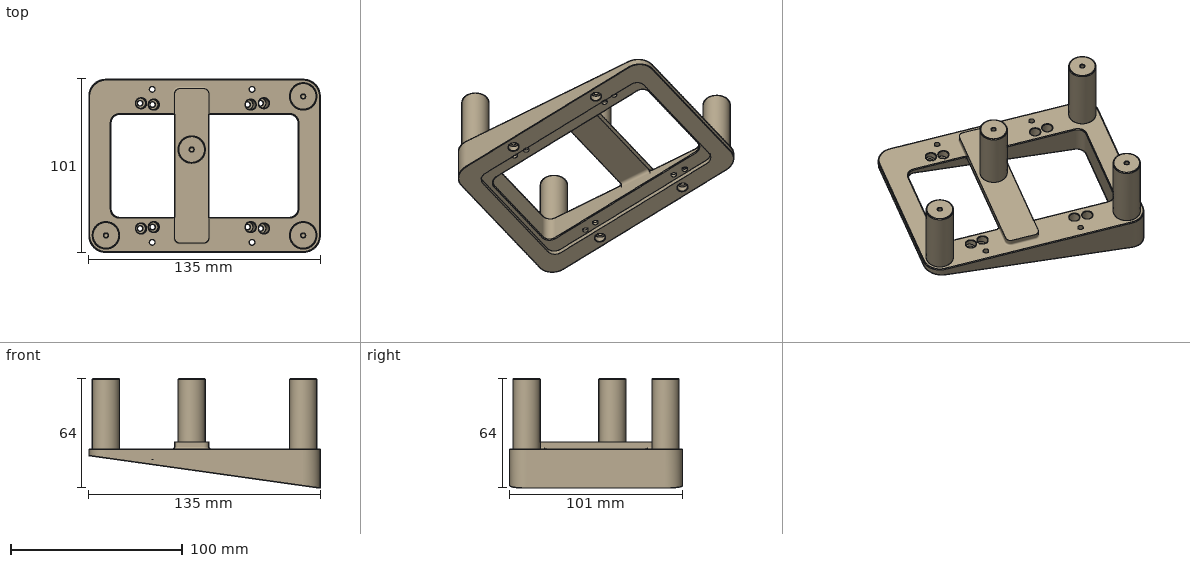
import cadquery as cq
import math

LENGTH = 135.0
WIDTH = 101.0
CORNER_RADIUS = 10.0
THICK_END = 23.015
SLOPE_DEG = 8.0
EDGE_CHAMFER = 0.5
UNDERSIDE_CHAMFER = 0.25
SLOPE = math.tan(math.radians(SLOPE_DEG))
THIN_END = THICK_END - LENGTH * SLOPE
CLEARANCE = 1.0
SEARCH_MARGIN = 0.2

WINDOW_LENGTH = 109.0
WINDOW_WIDTH = 60.0
WINDOW_RADIUS = 5.0

POCKET_LENGTH = 115.0
POCKET_WIDTH = 78.0
POCKET_RADIUS = 5.5
POCKET_DEPTH = 3.0

BAR_X = -7.5
BAR_WIDTH = 20.0
BAR_LENGTH = 90.0
BAR_HEIGHT = 4.0
BAR_RADIUS = 3.0
BAR_FILLET = 1.0
BAR_UNDERSIDE_FILLET = 2.0

POST_DIAMETER = 16.0
POST_TOP = 41.0
POST_CHAMFER = 0.5
POST_INSET = 10.0
BAR_POST_Y = 9.5
POST_HOLE_DIAMETER = 2.5
POST_HOLE_CHAMFER = 0.25
POST_HOLE_DEPTH = 10.0
DRILL_POINT_DEG = 118.0

SCREW_DIAMETER = 3.2
HEAD_DIAMETER = 6.0
HEAD_CHAMFER = 0.25

TILTED_HOLES = [(-37.0, 36.5), (-29.6, 35.7), (26.9, 35.7), (34.6, 36.5)]
TILTED_HOLE_FLOOR = 2.0

VERTICAL_HOLE_X = [-30.5, 27.7]
VERTICAL_HOLE_Y = 44.6
VERTICAL_HEAD_DEPTH = 3.5


def thickness_at(x):
    """Frame thickness at a given X."""
    return THIN_END + (x + LENGTH / 2) * SLOPE


def rounded_block(length, width, height, radius):
    """Block centred in X and Y, standing on Z = 0, with rounded vertical edges."""
    block = cq.Workplane("XY").box(length, width, height, centered=(True, True, False))
    return block.edges("|Z").fillet(radius)


def cylinder(diameter, height):
    """Upright cylinder standing on the origin."""
    return cq.Workplane("XY").circle(diameter / 2).extrude(height)


def onto_underside(tool):
    """Tilt a tool built around the origin so its XY plane lies on the underside at mid length."""
    tilted = tool.rotate((0, 0, 0), (0, 1, 0), SLOPE_DEG)
    return tilted.translate((0, 0, -thickness_at(0)))


def make_frame():
    """Wedge with rounded corners, underside pocket, window and broken top edges."""
    wedge = (
        cq.Workplane("XZ")
        .moveTo(-LENGTH / 2, 0)
        .lineTo(LENGTH / 2, 0)
        .lineTo(LENGTH / 2, -THICK_END)
        .lineTo(-LENGTH / 2, -THIN_END)
        .close()
        .extrude(WIDTH / 2, both=True)
    )
    frame = wedge.edges("|Z").fillet(CORNER_RADIUS)
    frame = frame.faces(">Z").chamfer(EDGE_CHAMFER)
    frame = frame.faces("<Z").chamfer(UNDERSIDE_CHAMFER)

    pocket = rounded_block(POCKET_LENGTH, POCKET_WIDTH, POCKET_DEPTH + CLEARANCE, POCKET_RADIUS)
    frame = frame.cut(onto_underside(pocket.translate((0, 0, -CLEARANCE))))

    window_height = THICK_END + 2 * CLEARANCE
    window = rounded_block(WINDOW_LENGTH, WINDOW_WIDTH, window_height, WINDOW_RADIUS)
    frame = frame.cut(window.translate((0, 0, CLEARANCE - window_height)))

    underside_normal = cq.Vector(-SLOPE, 0, -1)
    pocket_floor = frame.faces(cq.selectors.ParallelDirSelector(underside_normal)).faces(">Z")
    window_rim = pocket_floor.val().innerWires()
    return frame.newObject(window_rim).edges().chamfer(EDGE_CHAMFER)


def make_bar():
    """Flat bridge bar resting on the top face."""
    return rounded_block(BAR_WIDTH, BAR_LENGTH, BAR_HEIGHT, BAR_RADIUS).translate((BAR_X, 0, 0))


def make_post(x, y, base):
    """Chamfered post rising from the given base height."""
    post = cylinder(POST_DIAMETER, POST_TOP - base).faces(">Z").chamfer(POST_CHAMFER)
    return post.translate((x, y, base))


def make_post_hole(x, y):
    """Blind drilled hole with a conical bottom, entering from the post top."""
    radius = POST_HOLE_DIAMETER / 2
    point_depth = radius / math.tan(math.radians(DRILL_POINT_DEG / 2))
    hole = (
        cq.Workplane("XZ")
        .moveTo(0, 0)
        .lineTo(radius + POST_HOLE_CHAMFER, 0)
        .lineTo(radius, -POST_HOLE_CHAMFER)
        .lineTo(radius, -POST_HOLE_DEPTH)
        .lineTo(0, -POST_HOLE_DEPTH - point_depth)
        .close()
        .revolve(360, (0, 0, 0), (0, 1, 0))
    )
    return hole.translate((x, y, POST_TOP))


def make_tilted_hole(x, y):
    """Counterbored hole square to the underside whose axis meets the top face at (x, y)."""
    axis_length = thickness_at(x) * math.cos(math.radians(SLOPE_DEG)) - POCKET_DEPTH
    head_depth = axis_length - TILTED_HOLE_FLOOR
    screw = cylinder(SCREW_DIAMETER, axis_length + 2 * CLEARANCE)
    screw = screw.translate((0, 0, -axis_length - CLEARANCE))
    head = cylinder(HEAD_DIAMETER, head_depth + CLEARANCE).translate((0, 0, -head_depth))
    hole = screw.union(head).rotate((0, 0, 0), (0, 1, 0), SLOPE_DEG)
    return hole.translate((x, y, 0))


def make_vertical_hole(x, y):
    """Upright through hole counterbored from the underside."""
    depth = thickness_at(x)
    screw = cylinder(SCREW_DIAMETER, depth + 2 * CLEARANCE).translate((0, 0, -depth - CLEARANCE))
    head_height = VERTICAL_HEAD_DEPTH + CLEARANCE
    head = cylinder(HEAD_DIAMETER, head_height).translate((0, 0, -depth - CLEARANCE))
    return screw.union(head).translate((x, y, 0))


def join_bar(frame):
    """Add the bar and fillet its foot where it rests on the frame."""
    joined = frame.union(make_bar())
    reach_x = BAR_WIDTH / 2 + BAR_FILLET
    reach_y = BAR_LENGTH / 2 + BAR_FILLET
    for near_y, far_y in [(-reach_y, -WINDOW_WIDTH / 2), (WINDOW_WIDTH / 2, reach_y)]:
        low = (BAR_X - reach_x, near_y + SEARCH_MARGIN, -SEARCH_MARGIN)
        high = (BAR_X + reach_x, far_y - SEARCH_MARGIN, SEARCH_MARGIN)
        joined = joined.edges(cq.selectors.BoxSelector(low, high)).fillet(BAR_FILLET)
    return joined


def make_underside_fillet():
    """Concave fillet between the bar's underside and the window wall on the +Y side."""
    wall_y = WINDOW_WIDTH / 2
    arc_middle = BAR_UNDERSIDE_FILLET * (1 - math.sqrt(0.5))
    return (
        cq.Workplane("YZ")
        .moveTo(wall_y, 0)
        .lineTo(wall_y - BAR_UNDERSIDE_FILLET, 0)
        .threePointArc((wall_y - arc_middle, -arc_middle), (wall_y, -BAR_UNDERSIDE_FILLET))
        .close()
        .extrude(BAR_WIDTH / 2, both=True)
        .translate((BAR_X, 0, 0))
    )


def make_window_chamfer():
    """Tool that breaks the window's top edge, leaving it sharp beneath the bar."""
    rim = rounded_block(
        WINDOW_LENGTH + 2 * EDGE_CHAMFER,
        WINDOW_WIDTH + 2 * EDGE_CHAMFER,
        EDGE_CHAMFER + CLEARANCE,
        WINDOW_RADIUS + EDGE_CHAMFER,
    )
    rim = rim.faces("<Z").chamfer(EDGE_CHAMFER).translate((0, 0, -EDGE_CHAMFER))
    keep = cq.Workplane("XY").box(BAR_WIDTH + 2 * BAR_FILLET, WIDTH, BAR_HEIGHT)
    return rim.cut(keep.translate((BAR_X, 0, 0)))


def chamfer_rim(body, x, y, z):
    """Break the edge of the screw head recess whose rim is centred at the point."""
    low = (x - SEARCH_MARGIN, y - SEARCH_MARGIN, z - SEARCH_MARGIN)
    high = (x + SEARCH_MARGIN, y + SEARCH_MARGIN, z + SEARCH_MARGIN)
    return body.edges(cq.selectors.BoxSelector(low, high)).chamfer(HEAD_CHAMFER)


result = join_bar(make_frame()).cut(make_window_chamfer())
underside_fillet = make_underside_fillet()
result = result.union(underside_fillet).union(underside_fillet.mirror("XZ"))

corner_x = LENGTH / 2 - POST_INSET
corner_y = WIDTH / 2 - POST_INSET
posts = [
    (-corner_x, -corner_y, 0.0),
    (corner_x, -corner_y, 0.0),
    (corner_x, corner_y, 0.0),
    (BAR_X, BAR_POST_Y, BAR_HEIGHT),
]
for x, y, base in posts:
    result = result.union(make_post(x, y, base)).cut(make_post_hole(x, y))

for side in (-1, 1):
    for x, y in TILTED_HOLES:
        result = result.cut(make_tilted_hole(x, side * y))
        result = chamfer_rim(result, x, side * y, 0)
    for x in VERTICAL_HOLE_X:
        result = result.cut(make_vertical_hole(x, side * VERTICAL_HOLE_Y))
        result = chamfer_rim(result, x, side * VERTICAL_HOLE_Y, -thickness_at(x))